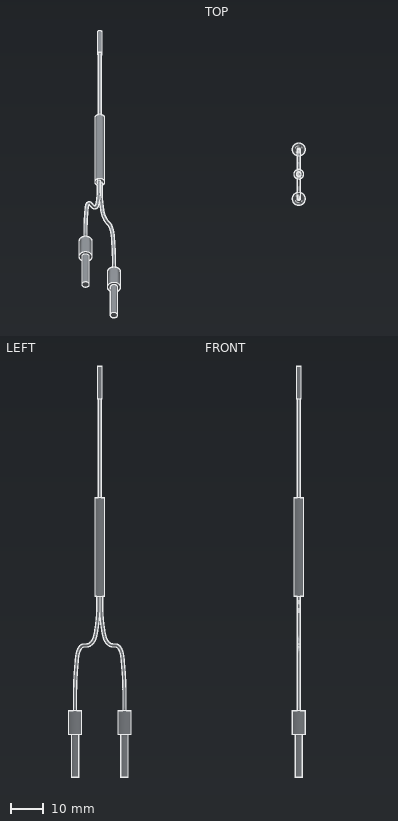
import cadquery as cq

collar_bottom = 13.0
collar_top = 20.2
straight_wire_top = 25.0
sleeve_bottom = 55.0
sleeve_top = 85.0
tip_bottom = 115.0
total_height = 125.0

wire_diameter = 1.0
tip_diameter = 1.5
pin_diameter = 2.2
sleeve_diameter = 3.0
collar_diameter = 4.0

leg_offset = 7.5
wire_overlap = 0.02
paired_wire_offset = (wire_diameter - wire_overlap) / 2

bend_points = [
    (0.56, 48.8),
    (1.1, 44.2),
    (2.1, 41.2),
    (3.6, 40.1),
    (5.2, 40.0),
    (6.2, 38.9),
    (7.0, 35.2),
]


def rod(diameter, bottom, top, y=0):
    """Vertical cylinder between two heights."""
    return (
        cq.Workplane("XY", origin=(0, y, bottom))
        .circle(diameter / 2)
        .extrude(top - bottom)
    )


def bent_wire(side):
    """Wire leaving the sleeve beside its twin, then bending out to one leg."""
    start = (side * paired_wire_offset, sleeve_bottom)
    bends = [(side * y, z) for y, z in bend_points]
    end = (side * leg_offset, straight_wire_top)
    path = (
        cq.Workplane("YZ")
        .moveTo(*start)
        .spline(bends + [end], tangents=[(0, -1), (0, -1)], includeCurrent=True)
    )
    return (
        cq.Workplane("XY", origin=(0, start[0], sleeve_bottom))
        .circle(wire_diameter / 2)
        .sweep(path)
    )


def contact(side):
    """Contact pin with its collar and the straight wire entering it."""
    y = side * leg_offset
    pin = rod(pin_diameter, 0, collar_bottom, y)
    collar = rod(collar_diameter, collar_bottom, collar_top, y)
    straight_wire = rod(wire_diameter, collar_top, straight_wire_top, y)
    return pin.union(collar).union(straight_wire)


result = rod(sleeve_diameter, sleeve_bottom, sleeve_top)
result = result.union(rod(wire_diameter, sleeve_top, tip_bottom))
result = result.union(rod(tip_diameter, tip_bottom, total_height))

for leg_side in (-1, 1):
    result = result.union(bent_wire(leg_side)).union(contact(leg_side))